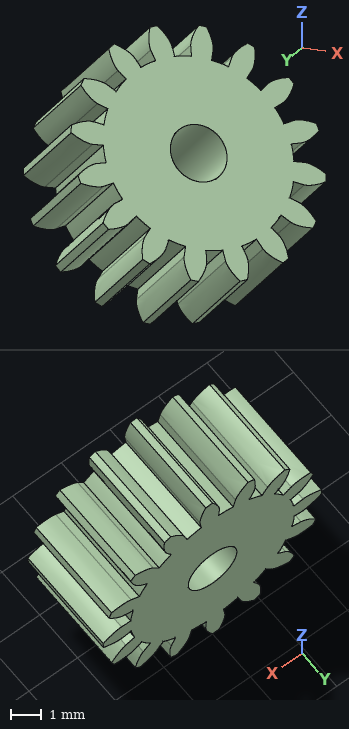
import cadquery as cq
import math

tooth_count = 16
module = 0.5
pressure_angle = math.radians(20)
backlash = 0.05
dedendum_factor = 1.25
face_width = 4.0
bore_diameter = 2.0
first_tooth_angle = math.radians(-1.79)
flank_points = 6

pitch_radius = module * tooth_count / 2
base_radius = pitch_radius * math.cos(pressure_angle)
tip_radius = pitch_radius + module
root_radius = pitch_radius - dedendum_factor * module
bore_radius = bore_diameter / 2
tooth_pitch_angle = 2 * math.pi / tooth_count

tooth_inner_radius = (root_radius + bore_radius) / 2


def involute(angle):
    """Involute function of a pressure angle, in radians."""
    return math.tan(angle) - angle


pitch_half_angle = (math.pi * module / 2 - backlash) / (2 * pitch_radius)
base_half_angle = pitch_half_angle + involute(pressure_angle)


def polar(radius, angle):
    return (radius * math.cos(angle), radius * math.sin(angle))


def half_angle(radius):
    """Angle from the tooth centreline to its involute flank at a radius."""
    return base_half_angle - involute(math.acos(base_radius / radius))


def flank(centre, side):
    """Involute points from the base circle to the tip, on one side (+1 or -1)."""
    step = (tip_radius - base_radius) / (flank_points - 1)
    radii = [base_radius + step * i for i in range(flank_points)]
    return [polar(radius, centre + side * half_angle(radius)) for radius in radii]


def front_face_plane():
    """Gear-face plane facing -Y; extruding by -face_width runs towards +Y."""
    return cq.Workplane("XZ", origin=(0, -face_width / 2, 0))


def make_hub():
    return front_face_plane().circle(root_radius).extrude(-face_width)


def make_tooth(centre):
    """Radial sides up to the base circle, involute flanks above, round tip land."""
    leading = flank(centre, -1)
    trailing = flank(centre, 1)[::-1]
    profile = (
        front_face_plane()
        .moveTo(*polar(tooth_inner_radius, centre - base_half_angle))
        .lineTo(*leading[0])
        .spline(leading[1:], includeCurrent=True)
        .threePointArc(polar(tip_radius, centre), trailing[0])
        .spline(trailing[1:], includeCurrent=True)
        .lineTo(*polar(tooth_inner_radius, centre + base_half_angle))
        .close()
    )
    return profile.extrude(-face_width)


def make_bore():
    return front_face_plane().circle(bore_radius).extrude(-face_width)


gear = make_hub()
for index in range(tooth_count):
    gear = gear.union(make_tooth(first_tooth_angle + index * tooth_pitch_angle))

result = gear.cut(make_bore())